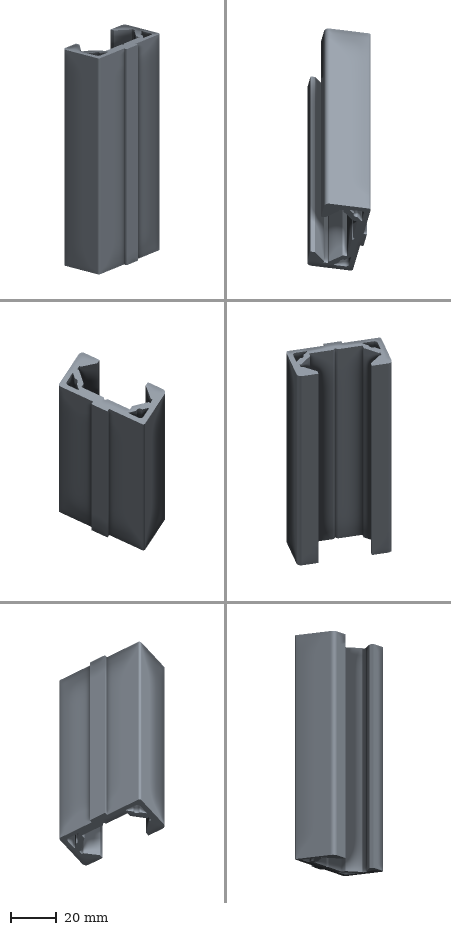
import cadquery as cq

length = 100.0
height = 43.0
body_depth = 20.5
front_radius = 2.0
back_radius = 1.0

rail_projection = 1.5
rail_width = 8.0

opening_width = 24.2
back_wall = 4.2
land_width = 2.0
slot_width = 2.0
slot_depth = 0.9
slot_center = 8.0

mark_depth = 1.0

hollow_back_wall = 2.2
hollow_side_wall = 2.4
hollow_leg = 6.9
hollow_corner_radius = 1.5
hollow_tip_radius = 0.2
screw_radius = 1.6
screw_inset_x = 3.0
screw_inset_y = 2.7

half_height = height / 2
half_opening = opening_width / 2
inner_x = body_depth - back_wall


def make_body():
    body = cq.Workplane("XY").box(body_depth, height, length, centered=(False, True, False))
    body = body.edges("|Z and <X").fillet(front_radius)
    body = body.edges("|Z and >X").fillet(back_radius)
    rail_depth = back_wall / 2 + rail_projection
    rail = (
        cq.Workplane("XY")
        .box(rail_depth, rail_width, length, centered=(False, True, False))
        .translate((body_depth - back_wall / 2, 0, 0))
    )
    return body.union(rail)


def make_opening():
    """Channel space, including the flange grooves and the V mark."""
    slot_left = slot_center - slot_width / 2
    slot_right = slot_center + slot_width / 2
    flank_top = half_opening + inner_x - land_width - slot_right
    slot_top = flank_top + slot_depth
    upper_groove = [
        (inner_x, half_opening),
        (inner_x - land_width, half_opening),
        (slot_right, flank_top),
        (slot_right, slot_top),
        (slot_left, slot_top),
        (slot_left, flank_top),
        (land_width, half_opening),
        (0, half_opening),
    ]
    lower_groove = [(x, -y) for x, y in reversed(upper_groove)]
    mark = [(inner_x, -mark_depth), (inner_x + mark_depth, 0), (inner_x, mark_depth)]
    return cq.Workplane("XY").polyline(upper_groove + lower_groove + mark).close().extrude(length)


def make_hollow():
    """Hollow for the +Y back corner."""
    corner_x = body_depth - hollow_back_wall
    corner_y = half_height - hollow_side_wall
    triangle = (
        cq.Workplane("XY")
        .moveTo(corner_x, corner_y)
        .lineTo(corner_x - hollow_leg, corner_y)
        .lineTo(corner_x, corner_y - hollow_leg)
        .close()
        .extrude(length)
    )
    triangle = triangle.edges("|Z and >X and >Y").fillet(hollow_corner_radius)
    triangle = triangle.edges("|Z and (<X or <Y)").fillet(hollow_tip_radius)
    screw_channel = (
        cq.Workplane("XY")
        .center(corner_x - screw_inset_x, corner_y - screw_inset_y)
        .circle(screw_radius)
        .extrude(length)
    )
    return triangle.union(screw_channel)


hollow = make_hollow()
result = make_body().cut(make_opening()).cut(hollow).cut(hollow.mirror("XZ"))